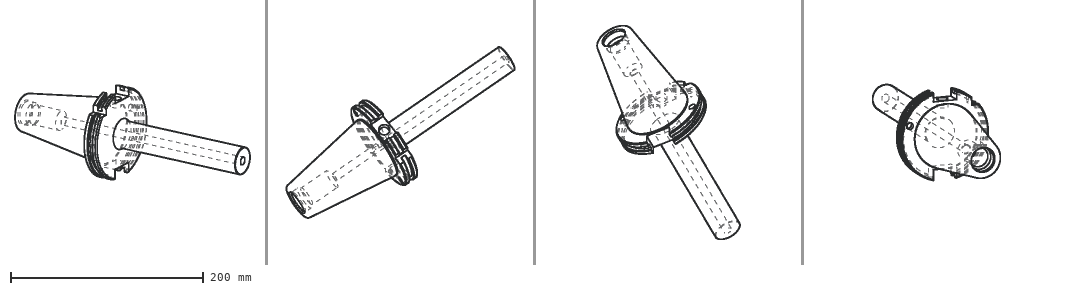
import math

import cadquery as cq


gauge_diameter = 69.85
taper_length = 101.75
taper_ratio = 7 / 24
small_end_radius = gauge_diameter / 2 - taper_length * taper_ratio / 2
small_end_fillet = 3.0

flange_diameter = 97.5
flange_front = 3.2
flange_back = 19.1
front_chamfer = 1.0
back_chamfer = 1.5
groove_center = 11.1
groove_floor_radius = 44.7
groove_floor_width = 5.0
groove_edge_chamfer = 0.8

relief_start = 1.5
relief_depth = 0.4

bar_diameter = 29.0
bar_length = 150.0
bar_end_chamfer = 0.5
neck_diameter = 33.0
neck_length = 4.0

mouth_diameter = 26.5
mouth_chamfer_depth = 2.0
pilot_diameter = 25.0
pilot_depth = 9.4
lead_in_diameter = 24.6
lead_in_length = 3.2
thread_diameter = 20.8
thread_depth = 45.0
drill_point_angle = 118
bore_flat_diameter = 10.2
channel_diameter = 8.4

slot_width = 25.7
upper_slot_floor = 37.7
lower_slot_floor = 35.3
notch_corner = 30.0

chip_hole_diameter = 11.6
chip_hole_depth = 8.0

coolant_circle_radius = 42.0
coolant_angle = 20
coolant_face_diameter = 7.0
coolant_face_depth = 5.0
coolant_outlet_diameter = 3.0

flange_radius = flange_diameter / 2
bar_radius = bar_diameter / 2
bar_end = flange_back + bar_length


def make_body():
    """Revolve taper, collar, flange, neck and bar in one outline."""
    collar_radius = gauge_diameter / 2
    relief_radius = collar_radius - relief_depth
    floor_half = groove_floor_width / 2
    mouth_half = floor_half + groove_edge_chamfer
    groove_wall_top = flange_radius - groove_edge_chamfer
    neck_radius = neck_diameter / 2
    neck_rise = neck_radius - bar_radius
    neck_arc_radius = (neck_length ** 2 + neck_rise ** 2) / (2 * neck_rise)
    outline = (
        cq.Workplane("XY")
        .moveTo(-taper_length, 0)
        .lineTo(-taper_length, small_end_radius)
        .lineTo(0, collar_radius)
        .lineTo(relief_start, collar_radius)
        .lineTo(relief_start + relief_depth, relief_radius)
        .lineTo(flange_front, relief_radius)
        .lineTo(flange_front, flange_radius - front_chamfer)
        .lineTo(flange_front + front_chamfer, flange_radius)
        .lineTo(groove_center - mouth_half, flange_radius)
        .lineTo(groove_center - floor_half, groove_wall_top)
        .lineTo(groove_center - floor_half, groove_floor_radius)
        .lineTo(groove_center + floor_half, groove_floor_radius)
        .lineTo(groove_center + floor_half, groove_wall_top)
        .lineTo(groove_center + mouth_half, flange_radius)
        .lineTo(flange_back - back_chamfer, flange_radius)
        .lineTo(flange_back, flange_radius - back_chamfer)
        .lineTo(flange_back, neck_radius)
        .radiusArc((flange_back + neck_length, bar_radius), -neck_arc_radius)
        .lineTo(bar_end - bar_end_chamfer, bar_radius)
        .lineTo(bar_end, bar_radius - bar_end_chamfer)
        .lineTo(bar_end, 0)
        .close()
    )
    body = outline.revolve(360, (0, 0, 0), (1, 0, 0))
    return body.faces("<X").edges().fillet(small_end_fillet)


def make_bore():
    """Stepped bore from the small end, ending in a flat-tipped cone that meets the through channel."""
    start = -taper_length
    thread_radius = thread_diameter / 2
    flat_radius = bore_flat_diameter / 2
    channel_radius = channel_diameter / 2
    pilot_radius = pilot_diameter / 2
    cone_length = (thread_radius - flat_radius) / math.tan(math.radians(drill_point_angle / 2))
    outline = (
        cq.Workplane("XY")
        .moveTo(start, 0)
        .lineTo(start, mouth_diameter / 2)
        .lineTo(start + mouth_chamfer_depth, pilot_radius)
        .lineTo(start + pilot_depth, pilot_radius)
        .lineTo(start + pilot_depth, lead_in_diameter / 2)
        .lineTo(start + pilot_depth + lead_in_length, thread_radius)
        .lineTo(start + thread_depth, thread_radius)
        .lineTo(start + thread_depth + cone_length, flat_radius)
        .lineTo(start + thread_depth + cone_length, channel_radius)
        .lineTo(bar_end, channel_radius)
        .lineTo(bar_end, 0)
        .close()
    )
    return outline.revolve(360, (0, 0, 0), (1, 0, 0))


def flange_cut(y_min, y_max, z_min, z_max):
    """Box through the full flange width."""
    size = (flange_back - flange_front, y_max - y_min, z_max - z_min)
    return cq.Workplane("XY").box(*size, centered=False).translate((flange_front, y_min, z_min))


def make_rim_cuts():
    """Two drive slots and the orientation notch on the -Y, +Z side."""
    half = slot_width / 2
    upper_slot = flange_cut(-half, half, upper_slot_floor, flange_radius)
    lower_slot = flange_cut(-half, half, -flange_radius, -lower_slot_floor)
    notch = flange_cut(-flange_radius, -notch_corner, notch_corner, flange_radius)
    return upper_slot.union(lower_slot).union(notch)


def make_chip_hole():
    """Blind hole going down from the upper slot floor."""
    floor = cq.Workplane("XY", origin=(groove_center, 0, upper_slot_floor))
    return floor.circle(chip_hole_diameter / 2).extrude(-chip_hole_depth)


def make_coolant_hole():
    """Drilled hole in the flange face with a radial outlet into the groove, on the +Y side."""
    drill_radius = coolant_face_diameter / 2
    cone_start = flange_front + coolant_face_depth
    cone_length = drill_radius / math.tan(math.radians(drill_point_angle / 2))
    drilling = (
        cq.Workplane("XY")
        .moveTo(flange_front, 0)
        .lineTo(flange_front, drill_radius)
        .lineTo(cone_start, drill_radius)
        .lineTo(cone_start + cone_length, 0)
        .close()
        .revolve(360, (0, 0, 0), (1, 0, 0))
        .translate((0, coolant_circle_radius, 0))
    )
    outlet_plane = cq.Workplane("XZ", origin=(groove_center, coolant_circle_radius, 0))
    outlet_length = flange_radius - coolant_circle_radius
    outlet = outlet_plane.circle(coolant_outlet_diameter / 2).extrude(-outlet_length)
    return drilling.union(outlet).rotate((0, 0, 0), (1, 0, 0), coolant_angle)


result = make_body().cut(make_bore()).cut(make_rim_cuts()).cut(make_chip_hole())
for half_turn in (0, 180):
    result = result.cut(make_coolant_hole().rotate((0, 0, 0), (1, 0, 0), half_turn))